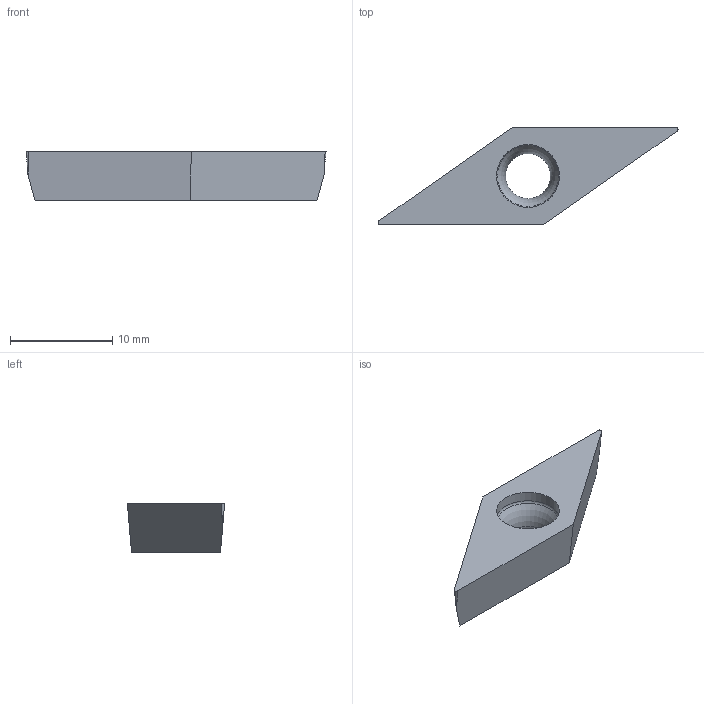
import cadquery as cq
import math

inscribed_circle = 9.528
thickness = 4.76
tip_angle = 35.0
relief_angle = 5.0
nose_radius = 0.2

hole_diameter = 4.4
mouth_diameter = 6.15
mouth_depth = 1.0
mouth_fillet = 0.4
seat_radius = 3.5

half_width = inscribed_circle / 2
relief_slope = math.tan(math.radians(relief_angle))
tip_sine = math.sin(math.radians(tip_angle))
tip_tangent = math.tan(math.radians(tip_angle))
bottom_half_width = half_width - thickness * relief_slope


def rhombus(workplane, half):
    """Add the sharp rhombus whose inscribed circle has the radius `half`."""
    far = half / tip_sine + half / tip_tangent
    near = half / tip_sine - half / tip_tangent
    return workplane.polyline([(-far, -half), (near, -half), (far, half), (-near, half)]).close()


def sharp_body():
    """Rhombic frustum, widest at the top face; the bottom face lies at z = 0."""
    bottom = rhombus(cq.Workplane("XY"), bottom_half_width)
    return rhombus(bottom.workplane(offset=thickness), half_width).loft(ruled=True)


def nose_waste():
    """Sliver outside the rounded -X tip: a kite prism less the cone that forms the nose."""
    core = half_width - nose_radius
    tip_x = -(half_width / tip_sine + half_width / tip_tangent)
    center_x = -(core / tip_sine + core / tip_tangent)
    side = center_x - tip_x
    slant = math.radians(tip_angle)
    cone_height = nose_radius / relief_slope
    apex_z = thickness - cone_height
    kite = (
        cq.Workplane("XY", origin=(0, 0, apex_z))
        .polyline([
            (tip_x, -half_width),
            (center_x, -half_width),
            (center_x, -core),
            (tip_x + side * math.cos(slant), -half_width + side * math.sin(slant)),
        ])
        .close()
        .extrude(cone_height)
    )
    cone = cq.Solid.makeCone(0, nose_radius, cone_height, pnt=cq.Vector(center_x, -core, apex_z))
    return kite.cut(cq.Workplane(cone))


def screw_hole():
    """Through hole: cylindrical mouth, concave fillet, convex screw seat, cylindrical throat."""
    throat = hole_diameter / 2
    mouth = mouth_diameter / 2
    mouth_z = thickness - mouth_depth
    center_gap = seat_radius + mouth_fillet
    seat_center_r = throat + seat_radius
    turn = math.acos((seat_center_r - (mouth - mouth_fillet)) / center_gap)
    throat_z = mouth_z - center_gap * math.sin(turn)

    def fillet_point(angle):
        radial = mouth - mouth_fillet * (1 - math.cos(angle))
        return radial, mouth_z - mouth_fillet * math.sin(angle)

    def seat_point(angle):
        return seat_center_r - seat_radius * math.cos(angle), throat_z + seat_radius * math.sin(angle)

    return (
        cq.Workplane("XZ")
        .lineTo(throat, 0)
        .lineTo(throat, throat_z)
        .threePointArc(seat_point(turn / 2), seat_point(turn))
        .threePointArc(fillet_point(turn / 2), (mouth, mouth_z))
        .lineTo(mouth, thickness)
        .lineTo(0, thickness)
        .close()
        .revolve(360, (0, 0, 0), (0, 1, 0))
    )


waste = nose_waste()
body = sharp_body().cut(waste).cut(waste.rotate((0, 0, 0), (0, 0, 1), 180))
result = body.cut(screw_hole())